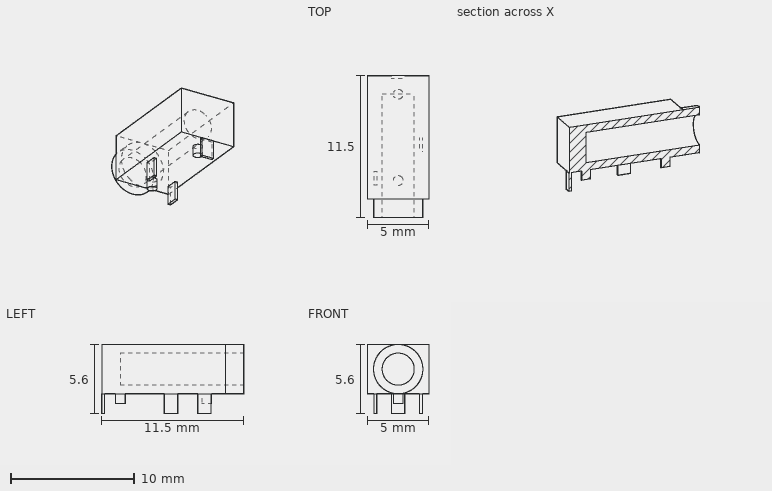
import cadquery as cq


body_width = 5.0
body_length = 10.0
body_height = 4.0

barrel_diameter = body_height
barrel_length = 1.5
bore_diameter = 2.6
bore_end_wall = 1.5
bore_depth = barrel_length + body_length - bore_end_wall
axis_height = body_height / 2

terminal_thickness = 0.25
terminal_width = 1.1
terminal_length = 1.6
side_terminal_offset = 1.85
left_terminal_y = 1.7
right_terminal_y = 4.4
rear_terminal_overhang = 0.025

peg_diameter = 0.8
peg_length = 0.8
peg_end_margin = 1.5


def make_housing():
    """Rectangular block with the front face on Y = 0."""
    return cq.Workplane("XY").box(
        body_width, body_length, body_height, centered=(True, False, False)
    )


def make_axial_cylinder(diameter, start_y, length):
    """Cylinder on the jack axis, running from start_y towards +Y."""
    front_plane = cq.Workplane("XZ", origin=(0, start_y, axis_height))
    return front_plane.circle(diameter / 2).extrude(-length)


def make_terminal(x, y, size_x, size_y):
    """Flat strip centred on (x, y), hanging from the underside."""
    return cq.Workplane("XY").center(x, y).rect(size_x, size_y).extrude(-terminal_length)


def make_peg(y):
    """Round locating peg hanging from the underside."""
    return cq.Workplane("XY").center(0, y).circle(peg_diameter / 2).extrude(-peg_length)


jack = make_housing()
jack = jack.union(make_axial_cylinder(barrel_diameter, -barrel_length, barrel_length))
jack = jack.cut(make_axial_cylinder(bore_diameter, -barrel_length, bore_depth))

for terminal_x, terminal_y in (
    (-side_terminal_offset, left_terminal_y),
    (side_terminal_offset, right_terminal_y),
):
    jack = jack.union(make_terminal(terminal_x, terminal_y, terminal_thickness, terminal_width))

rear_terminal_y = body_length + rear_terminal_overhang - terminal_thickness / 2
jack = jack.union(make_terminal(0, rear_terminal_y, terminal_width, terminal_thickness))

for peg_y in (peg_end_margin, body_length - peg_end_margin):
    jack = jack.union(make_peg(peg_y))

result = jack